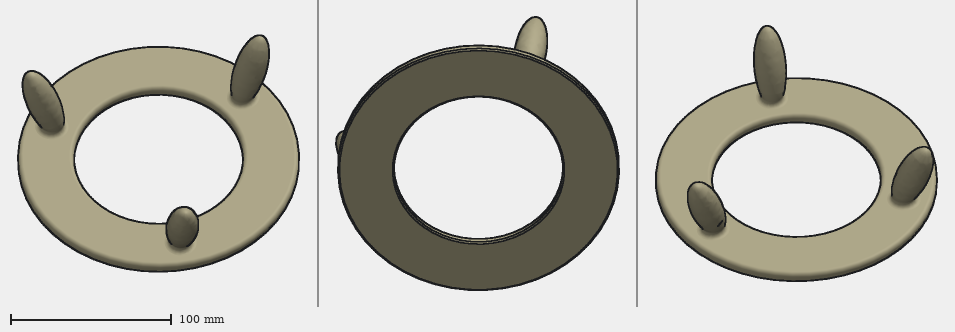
import cadquery as cq
import math

RING_OUTER_DIAMETER = 175.0
RING_INNER_DIAMETER = 105.0
RING_THICKNESS = 7.0
TOP_EDGE_RADIUS = 3.0
BOTTOM_EDGE_CHAMFER = 1.0

PEG_COUNT = 3
FIRST_PEG_ANGLE = 180.0
PEG_LEAN = 20.0
PEG_RADIUS = 10.0
PEG_HALF_LENGTH = 27.5
OVERALL_HEIGHT = 55.22
PEG_REACH = 89.04
PEG_FOOT_FILLET = 3.0

BOX_MARGIN = 0.1
TOP_FACE_BOX = (
    (-RING_OUTER_DIAMETER / 2, -RING_OUTER_DIAMETER / 2, RING_THICKNESS - BOX_MARGIN),
    (RING_OUTER_DIAMETER / 2, RING_OUTER_DIAMETER / 2, RING_THICKNESS + BOX_MARGIN),
)

LEAN_SIN = math.sin(math.radians(PEG_LEAN))
LEAN_COS = math.cos(math.radians(PEG_LEAN))
PEG_HALF_HEIGHT = math.hypot(PEG_HALF_LENGTH * LEAN_COS, PEG_RADIUS * LEAN_SIN)
PEG_HALF_WIDTH = math.hypot(PEG_HALF_LENGTH * LEAN_SIN, PEG_RADIUS * LEAN_COS)
PEG_CENTRE_RADIUS = PEG_REACH - PEG_HALF_WIDTH
PEG_CENTRE_HEIGHT = OVERALL_HEIGHT - PEG_HALF_HEIGHT


def make_ring():
    """Flat ring standing on Z = 0, rounded on top and chamfered below."""
    ring = (
        cq.Workplane("XY")
        .circle(RING_OUTER_DIAMETER / 2)
        .circle(RING_INNER_DIAMETER / 2)
        .extrude(RING_THICKNESS)
    )
    ring = ring.faces(">Z").edges().fillet(TOP_EDGE_RADIUS)
    return ring.faces("<Z").edges().chamfer(BOTTOM_EDGE_CHAMFER)


def make_peg():
    """Ellipsoid on +X with its top leaning away from the ring axis."""
    ellipsoid = (
        cq.Workplane("XZ")
        .moveTo(0, -PEG_HALF_LENGTH)
        .ellipseArc(PEG_RADIUS, PEG_HALF_LENGTH, -90, 90, startAtCurrent=True)
        .close()
        .revolve(360, (0, 0, 0), (0, 1, 0))
    )
    leaning = ellipsoid.rotate((0, 0, 0), (0, 1, 0), PEG_LEAN)
    return leaning.translate((PEG_CENTRE_RADIUS, 0, PEG_CENTRE_HEIGHT))


def add_filleted_pegs(ring):
    """Space the pegs evenly around the ring and fillet their feet."""
    peg = make_peg()
    body = ring
    for index in range(PEG_COUNT):
        angle = FIRST_PEG_ANGLE + index * 360.0 / PEG_COUNT
        body = body.union(peg.rotate((0, 0, 0), (0, 0, 1), angle))
    top_face_edges = body.edges(cq.selectors.BoxSelector(*TOP_FACE_BOX, boundingbox=True))
    return top_face_edges.edges("not %CIRCLE").fillet(PEG_FOOT_FILLET)


result = add_filleted_pegs(make_ring())